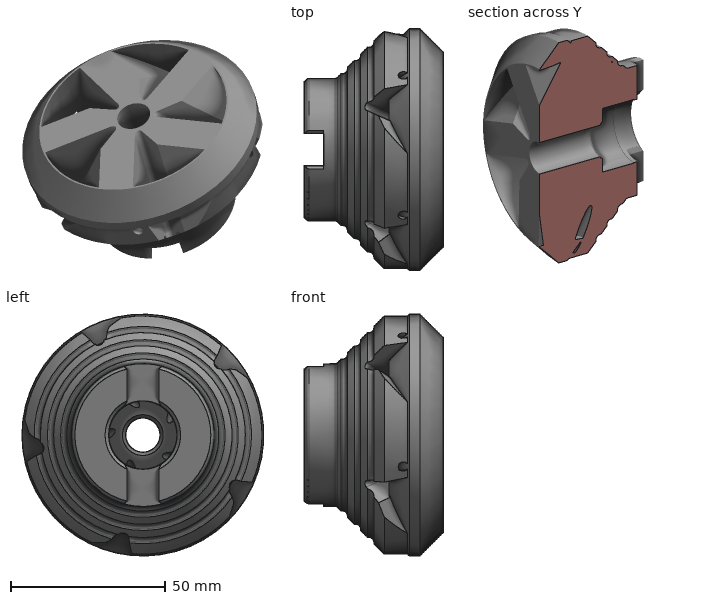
import cadquery as cq
import math

LENGTH = 45.0
NECK_R = 23.1
NECK_CHAMFER = 0.85
NECK_EDGE_RADIUS = 0.9
NECK_CONE_RADIUS = 1.1
CONE_ANGLE = math.radians(45)
CONE_OFFSET = 12.65
BODY_R = 38.55
FLANGE_R = 39.15
FLANGE_LAND_END = 37.4

GROOVE_COUNT = 3
GROOVE_START = 11.95
GROOVE_PITCH = 4.28
GROOVE_WIDTH = 2.0
GROOVE_FILLET = 1.5

BORE_R = 11.0
BORE_CHAMFER = 1.2
RELIEF_R = 11.2
RELIEF_START = 7.7
BORE_DEPTH = 20.0
BOLT_R = 5.5
BOLT_CHAMFER = 1.1
SLOT_WIDTH = 10.4
SLOT_DEPTH = 6.3
SLOT_EDGE_CHAMFER = 1.05
SLOT_OVERRUN = 3

RING_OFFSET = 5.15
RING_NOSE_X = 27.5
RING_REAR_R = 31.0

POCKET_COUNT = 5
POCKET_START_ANGLE = -7.5
POCKET_TIP_R = 1.45
POCKET_TIP_S = 38.15
POCKET_TIP_T = 0.25
SEAT_ANGLE = 17.0
CHIP_BREAK = (42.7, 5.2)
CHIP_OUTER_ANGLE = 67.5
POCKET_TOP = 62.0
POCKET_NEAR = -20.0
POCKET_FAR = 32.0

COOLANT_R = 1.5
COOLANT_FLOOR_POINT = (BORE_DEPTH, 12.2, 1.45)
COOLANT_RIM_POINT = (32.1, 37.6, -8.8)
COOLANT_OVERRUN = 6.0

AXIS = ((0, 0, 0), (1, 0, 0))


def cone_r(x):
    return x + CONE_OFFSET


def revolve_profile(profile):
    return profile.close().revolve(360, *AXIS)


def make_body():
    edge_run = NECK_EDGE_RADIUS * math.sin(CONE_ANGLE)
    chamfer_top = NECK_R - NECK_EDGE_RADIUS * (1 - math.cos(CONE_ANGLE))
    blend_start = NECK_R - CONE_OFFSET - NECK_CONE_RADIUS * math.tan(CONE_ANGLE / 2)
    blend_end = blend_start + NECK_CONE_RADIUS * math.sin(CONE_ANGLE)
    profile = (
        cq.Workplane("XY")
        .moveTo(0, 0)
        .lineTo(0, chamfer_top - NECK_CHAMFER)
        .lineTo(NECK_CHAMFER, chamfer_top)
        .tangentArcPoint((NECK_CHAMFER + edge_run, NECK_R), relative=False)
        .lineTo(blend_start, NECK_R)
        .tangentArcPoint((blend_end, cone_r(blend_end)), relative=False)
    )
    diagonal = GROOVE_FILLET * math.sqrt(0.5)
    for i in range(GROOVE_COUNT):
        start = GROOVE_START + i * GROOVE_PITCH
        floor = cone_r(start)
        end = start + GROOVE_WIDTH
        arc_x = end - GROOVE_FILLET
        arc_r = floor + GROOVE_FILLET
        profile = (
            profile.lineTo(start, floor)
            .lineTo(arc_x, floor)
            .threePointArc((arc_x + diagonal, arc_r - diagonal), (end, arc_r))
            .lineTo(end, cone_r(end))
        )
    profile = (
        profile.lineTo(BODY_R - CONE_OFFSET, BODY_R)
        .lineTo(BODY_R - RING_OFFSET, BODY_R)
        .lineTo(LENGTH, RING_REAR_R)
        .lineTo(LENGTH, 0)
    )
    return revolve_profile(profile)


def make_ring():
    rear_r = FLANGE_R - (LENGTH - FLANGE_LAND_END)
    profile = (
        cq.Workplane("XY")
        .moveTo(RING_NOSE_X, RING_NOSE_X + RING_OFFSET)
        .lineTo(FLANGE_R - RING_OFFSET, FLANGE_R)
        .lineTo(FLANGE_LAND_END, FLANGE_R)
        .lineTo(LENGTH, rear_r)
        .lineTo(LENGTH, RING_REAR_R)
    )
    return revolve_profile(profile)


def make_pocket():
    """Prism at angle zero; sketch x runs outwards along the cone and sketch y sideways."""
    near = POCKET_NEAR * math.sqrt(0.5)
    plane = cq.Plane(origin=(near, -near, 0), xDir=(1, 1, 0), normal=(1, -1, 0))
    seat = math.radians(SEAT_ANGLE)
    break_s = CHIP_BREAK[0] - POCKET_TIP_S
    break_t = CHIP_BREAK[1] - POCKET_TIP_T
    chip = math.atan2(break_t, break_s) - math.asin(POCKET_TIP_R / math.hypot(break_s, break_t))
    outer = math.radians(CHIP_OUTER_ANGLE)
    seat_foot = (POCKET_TIP_S - POCKET_TIP_R * math.sin(seat),
                 POCKET_TIP_T - POCKET_TIP_R * math.cos(seat))
    chip_foot = (POCKET_TIP_S - POCKET_TIP_R * math.sin(chip),
                 POCKET_TIP_T + POCKET_TIP_R * math.cos(chip))
    seat_top = seat_foot[1] - (POCKET_TOP - seat_foot[0]) * math.tan(seat)
    outer_top = CHIP_BREAK[1] + (POCKET_TOP - CHIP_BREAK[0]) * math.tan(outer)
    return (
        cq.Workplane(plane)
        .moveTo(*seat_foot)
        .threePointArc((POCKET_TIP_S - POCKET_TIP_R, POCKET_TIP_T), chip_foot)
        .lineTo(*CHIP_BREAK)
        .lineTo(POCKET_TOP, outer_top)
        .lineTo(POCKET_TOP, seat_top)
        .close()
        .extrude(POCKET_FAR - POCKET_NEAR)
    )


def make_coolant_hole():
    floor_point = cq.Vector(*COOLANT_FLOOR_POINT)
    axis = cq.Vector(*COOLANT_RIM_POINT) - floor_point
    start = floor_point - axis.normalized() * COOLANT_OVERRUN
    length = axis.Length + 2 * COOLANT_OVERRUN
    return cq.Workplane(cq.Solid.makeCylinder(COOLANT_R, length, start, axis))


def make_bore():
    profile = (
        cq.Workplane("XY")
        .moveTo(0, 0)
        .lineTo(0, BORE_R + BORE_CHAMFER)
        .lineTo(BORE_CHAMFER, BORE_R)
        .lineTo(RELIEF_START, BORE_R)
        .lineTo(RELIEF_START, RELIEF_R)
        .lineTo(BORE_DEPTH, RELIEF_R)
        .lineTo(BORE_DEPTH, BOLT_R + BOLT_CHAMFER)
        .lineTo(BORE_DEPTH + BOLT_CHAMFER, BOLT_R)
        .lineTo(LENGTH, BOLT_R)
        .lineTo(LENGTH, 0)
    )
    return revolve_profile(profile)


def slot_corner(radius, direction):
    """Chamfer ends where the slot wall meets a cylinder: on the wall, then on the cylinder's tangent.

    direction is +1 for a chamfer running outwards along the wall and -1 for inwards.
    """
    half = SLOT_WIDTH / 2
    height = math.sqrt(radius ** 2 - half ** 2)
    wall_point = (half, height + direction * SLOT_EDGE_CHAMFER)
    tangent_y = half + SLOT_EDGE_CHAMFER * height / radius
    tangent_z = height - SLOT_EDGE_CHAMFER * half / radius
    return wall_point, (tangent_y, tangent_z)


def make_slot():
    inner_wall, inner_edge = slot_corner(BORE_R, 1)
    outer_wall, outer_edge = slot_corner(NECK_R, -1)
    beyond = (outer_edge[0] + SLOT_OVERRUN * (outer_edge[0] - outer_wall[0]),
              outer_edge[1] + SLOT_OVERRUN * (outer_edge[1] - outer_wall[1]))
    half_profile = [inner_edge, inner_wall, outer_wall, beyond]
    mirrored = [(-y, z) for y, z in reversed(half_profile)]
    upper = cq.Workplane("YZ").polyline([(0, 0)] + half_profile + mirrored).close().extrude(SLOT_DEPTH)
    return upper.union(upper.rotate(*AXIS, 180))


body = make_body()
pocket = make_pocket()
coolant_hole = make_coolant_hole()
angles = [POCKET_START_ANGLE + i * 360.0 / POCKET_COUNT for i in range(POCKET_COUNT)]
for angle in angles:
    body = body.cut(pocket.rotate(*AXIS, angle))
    body = body.cut(coolant_hole.rotate(*AXIS, angle))

result = body.union(make_ring()).cut(make_bore()).cut(make_slot())